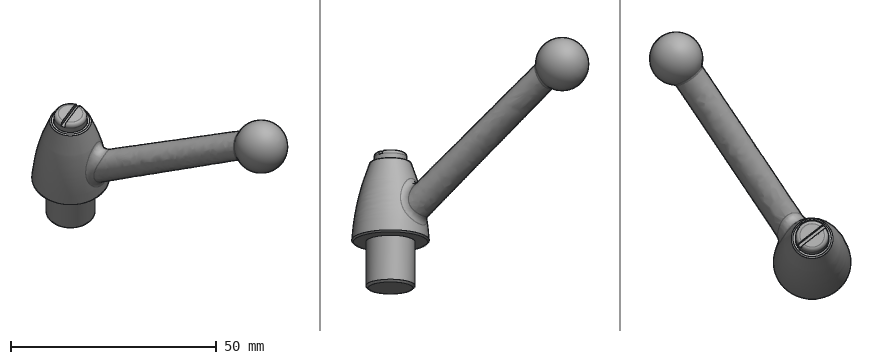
import cadquery as cq
import math

shank_diameter = 12.0
shank_chamfer = 0.55
hub_bottom = 11.6
hub_top = 31.6
hub_base_radius = 9.45
hub_top_radius = 5.05
hub_bulge_radius = 8.1
hub_bulge_height = 21.5
hub_base_chamfer = 0.4
hub_top_chamfer_width = 0.4
hub_top_chamfer_height = 0.2

screw_diameter = 8.0
screw_hole_diameter = 8.2
screw_gap_depth = 0.7
screw_top = 34.0
screw_edge_radius = 1.0
slot_width = 1.0
slot_depth = 1.0

overall_length = 68.4
overall_height = 54.0
ball_radius = 6.5
ball_x = overall_length - hub_base_radius - ball_radius
ball_z = overall_height - ball_radius

arm_angle = 33.6
arm_axis_height = 14.2
arm_start_x = 4.1
arm_end_x = 49.2
arm_width = 8.0
arm_start_depth = 7.65
arm_end_depth = 6.5
hub_blend_radius = 2.05
ball_blend_radius = 0.7

hub_junction_box = (
    (hub_top_radius, -hub_base_radius, hub_bottom + arm_width / 2),
    (hub_base_radius, hub_base_radius, hub_top - arm_width / 2),
)
ball_junction_box = (
    (ball_x - ball_radius, -ball_radius, ball_z - ball_radius),
    (ball_x, ball_radius, ball_z),
)


def make_shank():
    shank = cq.Workplane("XY").circle(shank_diameter / 2).extrude(hub_bottom)
    return shank.faces("<Z").chamfer(shank_chamfer)


def make_hub():
    """Bulged cone with its base and top edges broken; its seam faces away from the arm."""
    return (
        cq.Workplane("XZ")
        .moveTo(0, hub_bottom)
        .lineTo(hub_base_radius - hub_base_chamfer, hub_bottom)
        .lineTo(hub_base_radius, hub_bottom + hub_base_chamfer)
        .threePointArc(
            (hub_bulge_radius, hub_bulge_height),
            (hub_top_radius, hub_top - hub_top_chamfer_height),
        )
        .lineTo(hub_top_radius - hub_top_chamfer_width, hub_top)
        .lineTo(0, hub_top)
        .close()
        .revolve(360, (0, 0), (0, 1))
        .rotate((0, 0, 0), (0, 0, 1), 180)
    )


def make_arm():
    """Loft between two elliptical sections square to the sloping arm axis."""
    slope = math.radians(arm_angle)
    direction = cq.Vector(math.cos(slope), 0, math.sin(slope))
    start = cq.Vector(arm_start_x, 0, arm_axis_height + arm_start_x * math.tan(slope))
    length = (arm_end_x - arm_start_x) / math.cos(slope)
    section_plane = cq.Plane(origin=start, xDir=(0, 1, 0), normal=direction)
    return (
        cq.Workplane(section_plane)
        .ellipse(arm_width / 2, arm_start_depth / 2)
        .workplane(offset=length)
        .ellipse(arm_width / 2, arm_end_depth / 2)
        .loft(ruled=True)
    )


def make_screw_head():
    head = (
        cq.Workplane("XY", origin=(0, 0, hub_top))
        .circle(screw_diameter / 2)
        .extrude(screw_top - hub_top)
        .faces(">Z")
        .edges()
        .fillet(screw_edge_radius)
    )
    slot = (
        cq.Workplane("XY", origin=(0, 0, screw_top))
        .rect(slot_width, screw_diameter)
        .extrude(-slot_depth)
    )
    return head.cut(slot)


def make_lever():
    """Hub, arm and ball, with both ends of the arm blended into their neighbours."""
    ball = cq.Workplane("XY", origin=(ball_x, 0, ball_z)).sphere(ball_radius)
    body = make_hub().union(make_arm())
    hub_junction = cq.selectors.BoxSelector(*hub_junction_box)
    body = body.edges(hub_junction).fillet(hub_blend_radius).union(ball)
    ball_junction = cq.selectors.BoxSelector(*ball_junction_box)
    return body.edges(ball_junction).fillet(ball_blend_radius)


def make_screw_clearance():
    """Narrow ring gap between the screw head and the hub."""
    return (
        cq.Workplane("XY", origin=(0, 0, hub_top))
        .circle(screw_hole_diameter / 2)
        .circle(screw_diameter / 2)
        .extrude(-screw_gap_depth)
    )


lever = make_lever().cut(make_screw_clearance())
result = lever.union(make_shank()).union(make_screw_head())